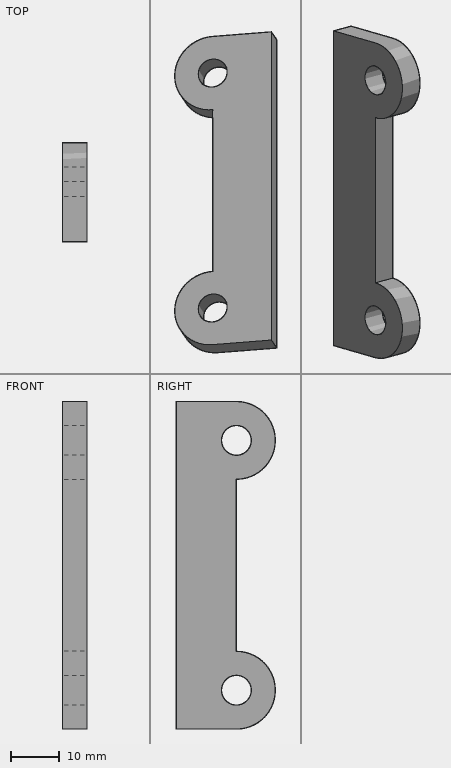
import cadquery as cq

thickness = 5.0
width = 20.3
height = 67.0
lug_radius = 8.0
hole_diameter = 6.0

strip_width = width - lug_radius
lug_offset = height / 2 - lug_radius
lug_centers = [(strip_width, -lug_offset), (strip_width, lug_offset)]

strip = cq.Workplane("YZ").rect(strip_width, height).extrude(thickness)
strip = strip.translate((0, strip_width / 2, 0))

lugs = cq.Workplane("YZ").pushPoints(lug_centers).circle(lug_radius).extrude(thickness)

holes = cq.Workplane("YZ").pushPoints(lug_centers).circle(hole_diameter / 2).extrude(thickness)

result = strip.union(lugs).cut(holes)